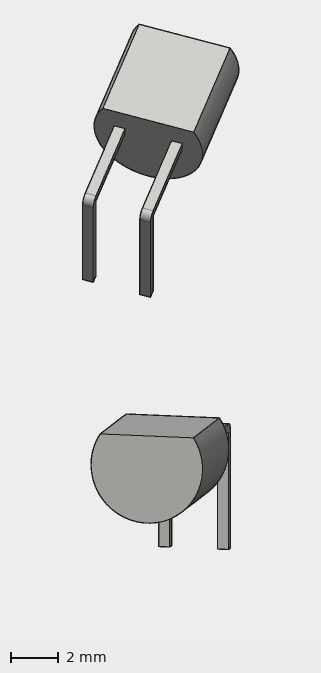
import cadquery as cq

body_diameter = 4.82
body_length = 4.8
flat_height = 1.32

lead_pitch = 2.535
lead_width = 0.48
run_thickness = 0.36
leg_thickness = 0.4
overall_length = 8.99
lead_reach = overall_length - body_length
lead_top = 0.36
overall_height = 6.33
bend_radius = run_thickness

lead_bottom = flat_height - overall_height


def make_body():
    radius = body_diameter / 2
    body_height = radius + flat_height
    cylinder = cq.Workplane("XZ").circle(radius).extrude(-body_length)
    keep = (
        cq.Workplane("XY")
        .box(body_diameter, body_length, body_height, centered=(True, False, False))
        .translate((0, 0, -radius))
    )
    return cylinder.intersect(keep)


def make_lead(x):
    """One bent lead centred at x, with its root on the front face (Y = 0)."""
    profile = (
        cq.Workplane("YZ", origin=(x, 0, 0))
        .moveTo(0, lead_top)
        .lineTo(-lead_reach + bend_radius, lead_top)
        .radiusArc((-lead_reach, lead_top - bend_radius), -bend_radius)
        .lineTo(-lead_reach, lead_bottom)
        .lineTo(-lead_reach + leg_thickness, lead_bottom)
        .lineTo(-lead_reach + leg_thickness, lead_top - run_thickness)
        .lineTo(0, lead_top - run_thickness)
        .close()
    )
    return profile.extrude(lead_width / 2, both=True)


result = make_body()
for side in (-1, 1):
    result = result.union(make_lead(side * lead_pitch / 2))